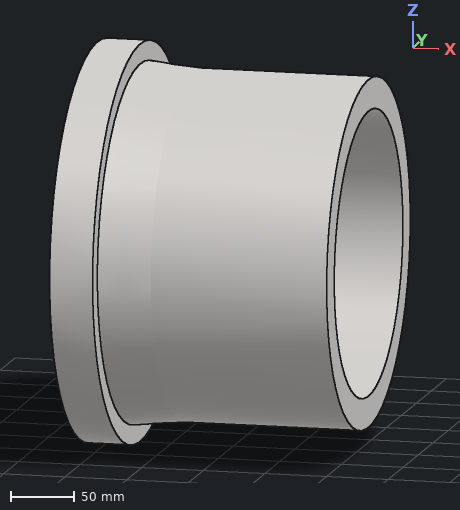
import cadquery as cq

total_length = 220.0
collar_diameter = 320.0
collar_thickness = 35.0
pipe_diameter = 280.0
bore_diameter = 229.2

neck_start_diameter = 288.0
neck_end_x = 77.5

collar_radius = collar_diameter / 2
pipe_radius = pipe_diameter / 2
bore_radius = bore_diameter / 2
neck_start_radius = neck_start_diameter / 2


def make_stub_end():
    """Revolve the wall half-section (X along the axis, Y as radius) about X."""
    wall_section = (
        cq.Workplane("XY")
        .moveTo(0, bore_radius)
        .lineTo(0, collar_radius)
        .lineTo(collar_thickness, collar_radius)
        .lineTo(collar_thickness, neck_start_radius)
        .lineTo(neck_end_x, pipe_radius)
        .lineTo(total_length, pipe_radius)
        .lineTo(total_length, bore_radius)
        .close()
    )
    return wall_section.revolve(360, (0, 0, 0), (1, 0, 0))


result = make_stub_end()